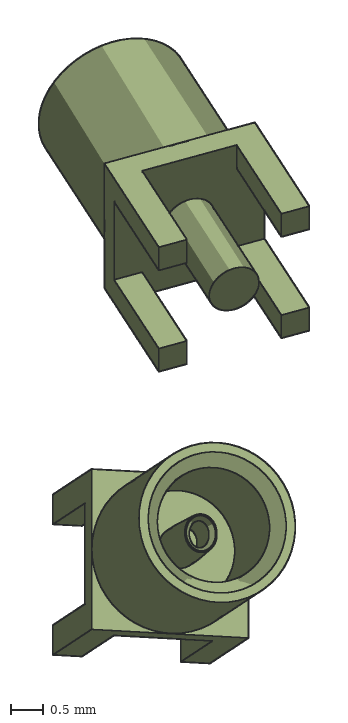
import cadquery as cq

length = 4.85
body_width = 2.55
barrel_length = 2.66
barrel_diameter = 2.54

plate_thickness = 0.395
leg_width = 0.475

bore_diameter = 1.825
mouth_diameter = 2.24
mouth_depth = 0.21
bore_depth = 2.182

contact_diameter = 0.65
contact_start = 0.92
contact_tip_width = 0.525
contact_tip_height = 0.61
contact_taper_length = 0.875
contact_mouth_width = 0.475
contact_mouth_height = 0.565
contact_hole_width = 0.32
contact_hole_height = 0.425
contact_lead_in = 0.095
contact_hole_depth = 0.775
pin_diameter = 0.845

plate_back = barrel_length + plate_thickness
leg_length = length - plate_back
leg_gap = body_width - 2 * leg_width


def rod(diameter, start, end):
    """Solid cylinder on the X axis between two X positions."""
    return cq.Workplane("YZ", origin=(start, 0, 0)).circle(diameter / 2).extrude(end - start)


def make_base():
    """Square block whose back is crossed by two slots, leaving a leg at each corner."""
    block_length = length - barrel_length
    base = cq.Workplane("YZ", origin=(barrel_length, 0, 0)).rect(body_width, body_width).extrude(block_length)
    for slot_size in ((leg_gap, body_width), (body_width, leg_gap)):
        slot = cq.Workplane("YZ", origin=(plate_back, 0, 0)).rect(*slot_size).extrude(leg_length)
        base = base.cut(slot)
    return base


def make_socket():
    """Bore with a conical lead-in at its mouth."""
    profile = [
        (0, 0),
        (0, mouth_diameter / 2),
        (mouth_depth, bore_diameter / 2),
        (bore_depth, bore_diameter / 2),
        (bore_depth, 0),
    ]
    return cq.Workplane("XY").polyline(profile).close().revolve(360, (0, 0, 0), (1, 0, 0))


def loft_along_x(start_size, end_size, start, end):
    """Solid between two ellipses, each given as its width (Y) and height (Z)."""
    first = cq.Workplane("YZ", origin=(start, 0, 0)).ellipse(start_size[0] / 2, start_size[1] / 2)
    second = first.workplane(offset=end - start).ellipse(end_size[0] / 2, end_size[1] / 2)
    return second.loft(combine=True)


def make_contact():
    """Round contact tapering to an oval tip with an oval hole and a flared lead-in."""
    tip_size = (contact_tip_width, contact_tip_height)
    root_size = (contact_diameter, contact_diameter)
    mouth_size = (contact_mouth_width, contact_mouth_height)
    hole_size = (contact_hole_width, contact_hole_height)
    taper_end = contact_start + contact_taper_length
    lead_in_end = contact_start + contact_lead_in
    hole_end = contact_start + contact_hole_depth

    tip = loft_along_x(tip_size, root_size, contact_start, taper_end)
    root = rod(contact_diameter, taper_end, barrel_length)
    lead_in = loft_along_x(mouth_size, hole_size, contact_start, lead_in_end)
    hole = loft_along_x(hole_size, hole_size, lead_in_end, hole_end)
    return tip.union(root).cut(lead_in).cut(hole)


barrel = rod(barrel_diameter, 0, barrel_length)
rear_pin = rod(pin_diameter, plate_back, length)

result = barrel.union(make_base()).cut(make_socket()).union(make_contact()).union(rear_pin)